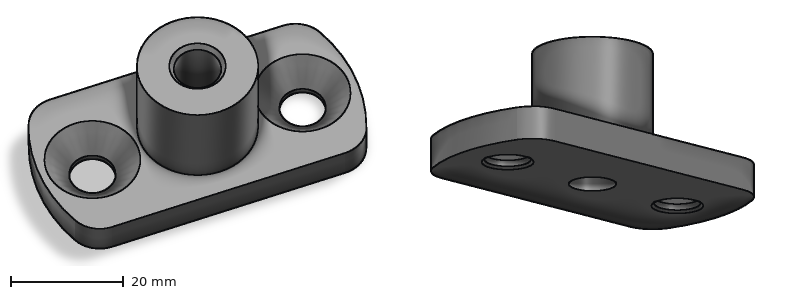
import cadquery as cq

plate_length = 59.8
plate_width = 30.0
plate_thickness = 6.0
corner_radius = 6.0

total_height = 24.0
boss_diameter = 21.5
bore_diameter = 8.4
bore_mouth_diameter = 10.0

hole_spacing = 39.95
hole_diameter = 8.2
countersink_diameter = 17.0
countersink_angle = 90.0
underside_chamfer = 0.5


def make_plate():
    """Plate with arc ends centred on the boss axis and rounded corners."""
    disc = cq.Workplane("XY").circle(plate_length / 2).extrude(plate_thickness)
    strip = cq.Workplane("XY").rect(plate_width, plate_length).extrude(plate_thickness)
    return disc.intersect(strip).edges("|Z and (<X or >X)").fillet(corner_radius)


def add_boss(body):
    boss = cq.Workplane("XY").circle(boss_diameter / 2).extrude(total_height)
    return body.union(boss)


def cut_bore(body):
    """Through bore with a 45 degree chamfer at its upper mouth."""
    bore_chamfer = (bore_mouth_diameter - bore_diameter) / 2
    bore = cq.Workplane("XY").circle(bore_diameter / 2).extrude(total_height)
    mouth = (
        cq.Workplane("XY", origin=(0, 0, total_height))
        .circle(bore_mouth_diameter / 2)
        .extrude(-bore_chamfer, taper=45)
    )
    return body.cut(bore).cut(mouth)


def cut_mounting_holes(body):
    """Countersunk holes on both sides of the boss, chamfered at the underside."""
    centers = [(0, side * hole_spacing / 2) for side in (-1, 1)]
    drilled = (
        body.copyWorkplane(cq.Workplane("XY", origin=(0, 0, plate_thickness)))
        .pushPoints(centers)
        .cskHole(hole_diameter, countersink_diameter, countersink_angle)
    )
    underside_chamfers = (
        cq.Workplane("XY")
        .pushPoints(centers)
        .circle(hole_diameter / 2 + underside_chamfer)
        .extrude(underside_chamfer, taper=45)
    )
    return drilled.cut(underside_chamfers)


result = cut_mounting_holes(cut_bore(add_boss(make_plate())))